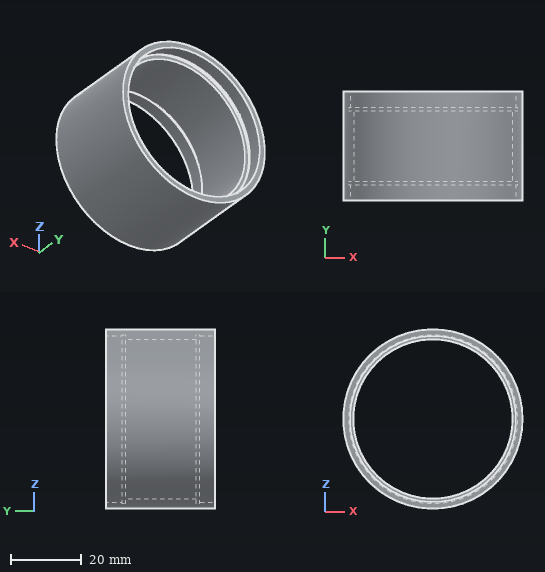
import cadquery as cq

outer_diameter = 50.8
length = 30.9
bore_diameter = 45.0
counterbore_diameter = 47.0
counterbore_depth = 5.5
relief_diameter = 47.75
relief_width = 1.0


def cylinder_along_y(diameter, start_y, height):
    """Solid cylinder on the Y axis, running from start_y towards +Y."""
    plane = cq.Workplane(cq.Plane(origin=(0, start_y, 0), xDir=(1, 0, 0), normal=(0, 1, 0)))
    return plane.circle(diameter / 2).extrude(height)


front_y = -length / 2
back_y = length / 2

sleeve = cylinder_along_y(outer_diameter, front_y, length)
sleeve = sleeve.cut(cylinder_along_y(bore_diameter, front_y, length))

for start_y in (front_y, back_y - counterbore_depth):
    sleeve = sleeve.cut(cylinder_along_y(counterbore_diameter, start_y, counterbore_depth))

front_shoulder_y = front_y + counterbore_depth
back_shoulder_y = back_y - counterbore_depth
for start_y in (front_shoulder_y - relief_width, back_shoulder_y):
    sleeve = sleeve.cut(cylinder_along_y(relief_diameter, start_y, relief_width))

result = sleeve